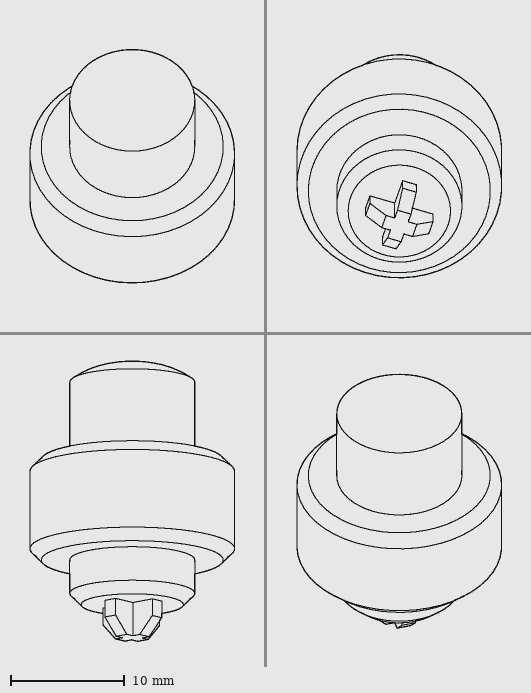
import cadquery as cq

shaft_diameter = 11.0
flange_diameter = 18.0
total_height = 24.5
blade_height = 3.0
lower_shaft_height = 4.02
flange_height = 9.0
edge_chamfer = 1.0
dome_height = 1.5
dome_flat_diameter = 2.0
blade_width = 5.83
blade_thickness = 1.25
blade_chamfer = 1.5

flange_bottom = blade_height + lower_shaft_height
dome_base = total_height - dome_height


def make_shaft():
    """Round pin with a chamfered lower end, below the dome."""
    return (
        cq.Workplane("XY")
        .workplane(offset=blade_height)
        .circle(shaft_diameter / 2)
        .extrude(dome_base - blade_height)
        .faces("<Z")
        .chamfer(edge_chamfer)
    )


def make_flange():
    """Wide collar, chamfered on both rims."""
    return (
        cq.Workplane("XY")
        .workplane(offset=flange_bottom)
        .circle(flange_diameter / 2)
        .extrude(flange_height)
        .faces("<Z or >Z")
        .chamfer(edge_chamfer)
    )


def make_dome():
    """Rounded cap whose arc runs tangentially into a small flat top."""
    shaft_radius = shaft_diameter / 2
    flat_radius = dome_flat_diameter / 2
    return (
        cq.Workplane("XZ")
        .moveTo(0, dome_base)
        .lineTo(0, total_height)
        .lineTo(flat_radius, total_height)
        .tangentArcPoint((shaft_radius, dome_base), relative=False)
        .close()
        .revolve(360, (0, 0, 0), (0, 1, 0))
    )


def make_blade(angle):
    """Flat blade across the axis with chamfered tip corners."""
    return (
        cq.Workplane("XY")
        .box(blade_width, blade_thickness, flange_bottom, centered=(True, True, False))
        .edges("<Z and |Y")
        .chamfer(blade_chamfer)
        .rotate((0, 0, 0), (0, 0, 1), angle)
    )


result = make_shaft().union(make_flange()).union(make_dome())
for blade_angle in (0, 90):
    result = result.union(make_blade(blade_angle))